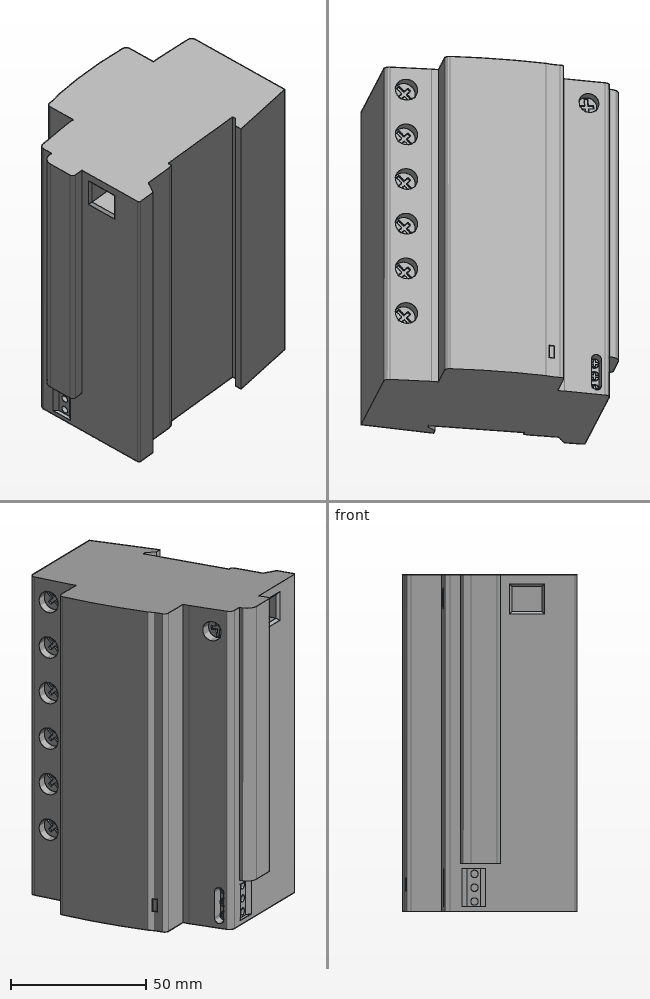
import cadquery as cq


height = 124.6
depth = 64.8
body_width = 85.0
middle_y = body_width / 2

block_width = 45.0
block_low_y = middle_y - block_width / 2
block_high_y = middle_y + block_width / 2
high_bulge_x = 1.1
low_bulge_x = 0.9
bulge_low_y = 27.2
bulge_middle_y = (bulge_low_y + block_high_y) / 2
band_x = 1.6
band_middle_x = 1.5
block_high_radius = 2.0
block_low_radius = 1.6

shoulder_x = 14.6
shoulder_slope_run = 1.1
shoulder_strip = 2.6
shoulder_radius = 2.1

rear_high_x = 61.7
hook_low_y = 57.0
hook_tip_x = 62.0
hook_root_x = 59.2
channel_high_y = 60.2
channel_x = 57.8
channel_low_y = 24.2
foot_step_x = 59.3
foot_x = 59.8
foot_bevel_y = 22.5
foot_slope_high_y = 10.8
foot_slope_low_y = 7.7
rear_low_radius = 0.7

rib_start_x = 21.5
rib_end_x = 36.5
rib_rise = 5.0
rib_bottom_z = 17.8
rib_front_radius = 4.0
rib_rear_radius = 1.4

screw_recess_depth = 4.2
top_screw_z = 115.9
terminal_screw_y = 76.9
terminal_screw_diameter = 8.2
terminal_screw_count = 6
terminal_screw_pitch = 17.8
terminal_screw_angle = -45
side_screw_y = body_width - terminal_screw_y
side_screw_diameter = 7.5
side_screw_angle = -6
cross_long = 7.0
cross_short = 5.2
cross_width = 1.4
cross_depth = 1.0

connector_z = 8.8
connector_pitch = 5.1
connector_levels = [connector_z + step * connector_pitch for step in (-1, 0, 1)]
slot_y = 5.2
slot_width = 3.7
slot_length = 14.0
slot_depth = 4.7
small_screw_diameter = 3.5
small_screw_rise = 0.7
small_cross_long = 2.7
small_cross_width = 0.9
small_cross_depth = 0.4
trough_x = 26.5
trough_outer_width = 8.7
trough_floor_width = 5.0
trough_length = 14.1
trough_depth = 1.5
wire_hole_x = 26.8
wire_hole_diameter = 2.7
wire_hole_depth = 2.5

window_x = 46.2
window_z = 115.6
window_width = 13.1
window_height = 11.2
window_bevel = 1.0
window_depth = 12.5

indicator_y = 24.8
indicator_z = 10.0
indicator_width = 2.0
indicator_height = 4.9
indicator_depth = 0.4


def fillet_upright_edges(solid, corners):
    """Round the upright edges standing at the given (x, y, radius) corners."""
    mid_z = solid.val().BoundingBox().center.z
    for x, y, radius in corners:
        solid = solid.edges(cq.selectors.NearestToPointSelector((x, y, mid_z))).fillet(radius)
    return solid


def shoulder_surface_x(y):
    """X of the shoulder face at distance y across the part."""
    slope_start = block_width / 2 + shoulder_strip
    slope_length = middle_y - slope_start
    past_strip = max(abs(y - middle_y) - slope_start, 0)
    return shoulder_x + shoulder_slope_run * past_strip / slope_length


def make_body():
    outer_x = shoulder_surface_x(0)
    band_low_y = block_low_y + block_low_radius
    profile = (
        cq.Workplane("XY")
        .moveTo(outer_x, 0)
        .lineTo(depth, 0)
        .lineTo(depth, foot_slope_low_y)
        .lineTo(foot_x, foot_slope_high_y)
        .lineTo(foot_x, foot_bevel_y)
        .lineTo(foot_step_x, channel_low_y)
        .lineTo(channel_x, channel_low_y)
        .lineTo(channel_x, channel_high_y)
        .lineTo(hook_root_x, channel_high_y)
        .lineTo(hook_tip_x, hook_low_y)
        .lineTo(depth, hook_low_y)
        .lineTo(rear_high_x, body_width)
        .lineTo(outer_x, body_width)
        .lineTo(shoulder_x, block_high_y + shoulder_strip)
        .lineTo(shoulder_x, block_high_y)
        .lineTo(high_bulge_x, block_high_y)
        .threePointArc((0, bulge_middle_y), (low_bulge_x, bulge_low_y))
        .threePointArc((band_middle_x, (bulge_low_y + band_low_y) / 2), (band_x, band_low_y))
        .tangentArcPoint((band_x + block_low_radius, block_low_y), relative=False)
        .lineTo(shoulder_x, block_low_y)
        .lineTo(shoulder_x, block_low_y - shoulder_strip)
        .close()
    )
    rounded_corners = [
        (outer_x, 0, shoulder_radius),
        (outer_x, body_width, shoulder_radius),
        (high_bulge_x, block_high_y, block_high_radius),
        (depth, 0, rear_low_radius),
    ]
    return fillet_upright_edges(profile.extrude(height), rounded_corners)


def make_rib():
    overlap = 1.2
    rib = cq.Workplane("XY").box(
        rib_end_x - rib_start_x, rib_rise + overlap, height - rib_bottom_z, centered=False
    )
    rib = rib.translate((rib_start_x, -rib_rise, rib_bottom_z))
    rounded_corners = [
        (rib_start_x, -rib_rise, rib_front_radius),
        (rib_end_x, -rib_rise, rib_rear_radius),
    ]
    return fillet_upright_edges(rib, rounded_corners)


def front_plane(x, y, z):
    """Workplane facing +X at the given point; its local x runs along Y, its local y along Z."""
    return cq.Workplane("YZ", origin=(x, y, z))


def lower_side_plane(x, z, y=0):
    """Workplane facing +Y into the lower side; its local x runs along -X, its local y along Z."""
    return cq.Workplane("XZ", origin=(x, y, z)).transformed(rotate=(0, 180, 0))


def cross_slots(x, y, z, long, short, width, slot_cut_depth, angle):
    """Cutter for a screwdriver cross whose long bar is upright before turning by angle."""
    plane = front_plane(x, y, z).transformed(rotate=(0, 0, angle))
    return plane.rect(width, long).extrude(slot_cut_depth).union(
        plane.rect(short, width).extrude(slot_cut_depth)
    )


def screw_recess(y, z, diameter, angle):
    """Cutter for a round recess in the shoulder with a cross-slotted screw head as its floor."""
    floor_x = shoulder_surface_x(y) + screw_recess_depth
    bore = front_plane(shoulder_x, y, z).circle(diameter / 2).extrude(floor_x - shoulder_x)
    cross = cross_slots(floor_x, y, z, cross_long, cross_short, cross_width, cross_depth, angle)
    return bore.union(cross)


def connector_slot():
    """Cutter for the rounded slot, leaving three small screw heads standing on its floor."""
    floor_x = shoulder_surface_x(slot_y) + slot_depth
    slot = (
        front_plane(shoulder_x, slot_y, connector_z)
        .slot2D(slot_length, slot_width, 90)
        .extrude(floor_x - shoulder_x)
    )
    head_x = floor_x - small_screw_rise
    for z in connector_levels:
        head = front_plane(head_x, slot_y, z).circle(small_screw_diameter / 2).extrude(small_screw_rise)
        cross = cross_slots(
            head_x, slot_y, z, small_cross_long, small_cross_long, small_cross_width, small_cross_depth, 0
        )
        slot = slot.cut(head.cut(cross))
    return slot


def wire_trough():
    """Cutter for the trough with sloped flanks and three wire holes in its floor."""
    trough = (
        cq.Workplane("XY", origin=(trough_x, 0, connector_z - trough_length / 2))
        .moveTo(-trough_outer_width / 2, 0)
        .lineTo(trough_outer_width / 2, 0)
        .lineTo(trough_floor_width / 2, trough_depth)
        .lineTo(-trough_floor_width / 2, trough_depth)
        .close()
        .extrude(trough_length)
    )
    for z in connector_levels:
        hole = lower_side_plane(wire_hole_x, z, trough_depth).circle(wire_hole_diameter / 2)
        trough = trough.union(hole.extrude(wire_hole_depth))
    return trough


def window():
    """Cutter for the rectangular window with a bevelled rim."""
    inner_width = window_width - 2 * window_bevel
    inner_height = window_height - 2 * window_bevel
    rim = (
        lower_side_plane(window_x, window_z)
        .rect(window_width, window_height)
        .workplane(offset=window_bevel)
        .rect(inner_width, inner_height)
        .loft(ruled=True)
    )
    opening = lower_side_plane(window_x, window_z).rect(inner_width, inner_height).extrude(window_depth)
    return rim.union(opening)


def indicator_recess():
    recess = front_plane(0, indicator_y, indicator_z).rect(indicator_width, indicator_height)
    return recess.extrude(band_x + indicator_depth)


result = make_body().union(make_rib())

for index in range(terminal_screw_count):
    screw_z = top_screw_z - index * terminal_screw_pitch
    result = result.cut(
        screw_recess(terminal_screw_y, screw_z, terminal_screw_diameter, terminal_screw_angle)
    )
result = result.cut(screw_recess(side_screw_y, top_screw_z, side_screw_diameter, side_screw_angle))

for cutter in (connector_slot(), wire_trough(), window(), indicator_recess()):
    result = result.cut(cutter)